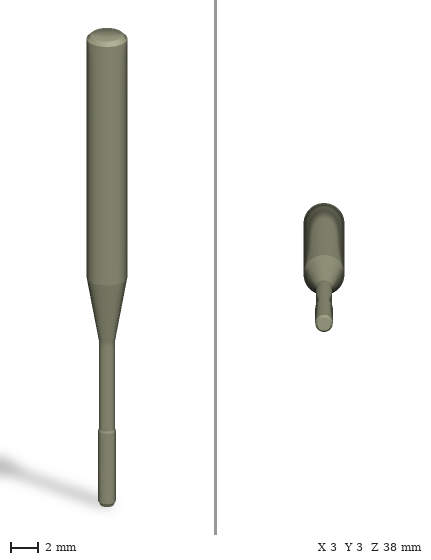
import cadquery as cq
import math

total_length = 38.0
shank_diameter = 3.0
neck_diameter = 1.18
cutter_diameter = 1.3

cutter_length = 6.0
cone_bottom = 13.38
cone_top = 18.4

shank_chamfer = 0.3
tip_diameter = 1.0
tip_taper_height = 0.3
cutter_back_height = 0.15
neck_blend_height = 0.35

shank_radius = shank_diameter / 2
neck_radius = neck_diameter / 2
cutter_radius = cutter_diameter / 2
tip_radius = tip_diameter / 2
cutter_top = cutter_length + cutter_back_height

blend_bottom = cone_bottom - neck_blend_height
angle_steps = 20


def cone_angle():
    """Half angle of the cone, found by fixed-point iteration on its lower radius."""
    angle = 0.0
    for _ in range(angle_steps):
        lower_radius = neck_radius + neck_blend_height * math.tan(angle / 2)
        angle = math.atan((shank_radius - lower_radius) / (cone_top - cone_bottom))
    return angle


def make_cutter():
    """Cutting head with a tapered tip and a short taper at its back."""
    profile = (
        cq.Workplane("XZ")
        .lineTo(tip_radius, 0)
        .lineTo(cutter_radius, tip_taper_height)
        .lineTo(cutter_radius, cutter_length)
        .lineTo(neck_radius, cutter_top)
        .lineTo(0, cutter_top)
        .close()
    )
    return profile.revolve(360, (0, 0, 0), (0, 1, 0))


def make_shank():
    """Chamfered shank, cone and neck in one piece, standing on the cutter."""
    angle = cone_angle()
    blend_radius = neck_blend_height / math.sin(angle)
    blend_mid = (
        neck_radius + blend_radius * (1 - math.cos(angle / 2)),
        blend_bottom + blend_radius * math.sin(angle / 2),
    )
    blend_end = (neck_radius + blend_radius * (1 - math.cos(angle)), cone_bottom)
    profile = (
        cq.Workplane("XZ")
        .moveTo(0, cutter_top)
        .lineTo(neck_radius, cutter_top)
        .lineTo(neck_radius, blend_bottom)
        .threePointArc(blend_mid, blend_end)
        .lineTo(shank_radius, cone_top)
        .lineTo(shank_radius, total_length - shank_chamfer)
        .lineTo(shank_radius - shank_chamfer, total_length)
        .lineTo(0, total_length)
        .close()
    )
    return profile.revolve(360, (0, 0, 0), (0, 1, 0))


cutter = make_cutter()
shank = make_shank()

result = cq.Compound.makeCompound([cutter.val(), shank.val()])